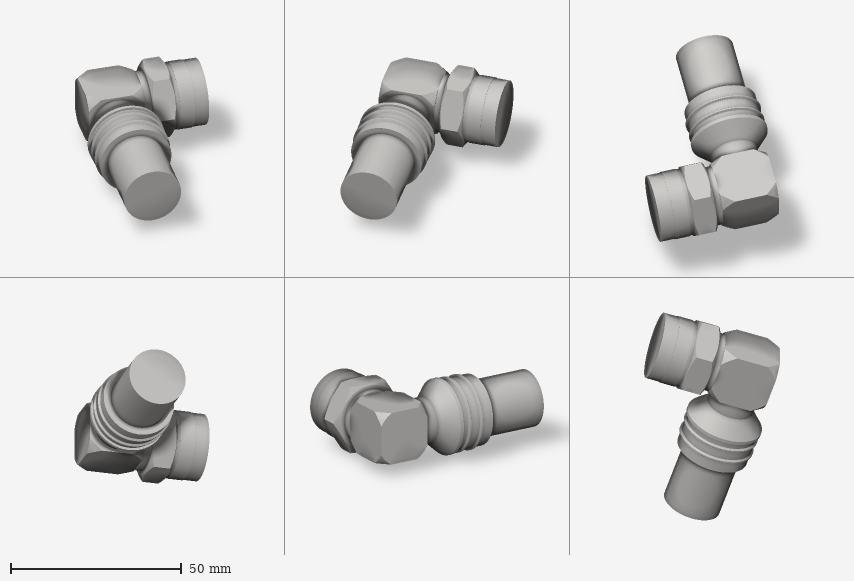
import cadquery as cq
import math


overall_length = 60.25

block_width = 16.0
block_depth = 17.0
block_chamfer_radius = 9.15
block_chamfer_angle = 60.0

collar_radius = 8.75
collar_length = 2.05

hex_corner_diameter = 23.9
hex_length = 7.1
hex_chamfer_radius = 10.0
hex_chamfer_angle = 30.0
relief_radius = 9.95
relief_length = 1.1
shoulder_radius = 10.1
shoulder_length = 4.4
nose_radius = 9.95
nut_end = 27.5

neck_radius = 7.05
neck_end = 12.65
flange_radius = 11.5
flange_start = 17.65
flange_end = 18.75
barrel_radius = 10.8
barrel_end = 29.35
sleeve_radius = 8.6

rib_radius = 11.4
rib_base_width = 1.2
rib_crest_width = 0.4
rib_centers = (21.25, 25.3)

block_face_y = block_depth / 2
nut_start = block_face_y + collar_length
hex_corner_radius = hex_corner_diameter / 2
sleeve_end = overall_length - hex_corner_radius


def disc_along_y(radius, start, end):
    """Cylinder around the nut axis, from start to end along Y."""
    return cq.Workplane("XZ", origin=(0, start, 0)).circle(radius).extrude(start - end)


def chamfer_envelope(face_radius, corner_radius, angle, start, end):
    """Solid of revolution around Y whose two conical ends cut the corners of a prism."""
    rise = (corner_radius - face_radius) * math.tan(math.radians(angle))
    profile = [
        (0, start),
        (face_radius, start),
        (corner_radius, start + rise),
        (corner_radius, end - rise),
        (face_radius, end),
        (0, end),
    ]
    return cq.Workplane("XY").polyline(profile).close().revolve(360, (0, 0, 0), (0, 1, 0))


def make_block():
    """Square block with conical chamfers on the corners of both Y ends."""
    box = cq.Workplane("XY").box(block_width, block_depth, block_width)
    envelope = chamfer_envelope(
        block_chamfer_radius,
        block_width / math.sqrt(2),
        block_chamfer_angle,
        -block_face_y,
        block_face_y,
    )
    return box.intersect(envelope)


def make_cable_entry():
    """Turned neck, cone, flange, barrel and sleeve around the X axis."""
    profile = [
        (0, 0),
        (0, neck_radius),
        (neck_end, neck_radius),
        (flange_start, flange_radius),
        (flange_end, flange_radius),
        (flange_end, barrel_radius),
        (barrel_end, barrel_radius),
        (barrel_end, sleeve_radius),
        (sleeve_end, sleeve_radius),
        (sleeve_end, 0),
    ]
    return cq.Workplane("XY").polyline(profile).close().revolve(360, (0, 0, 0), (1, 0, 0))


def make_rib(center):
    """Ring around the barrel with sloped flanks and a narrow crest, seated on a solid core."""
    base_half = rib_base_width / 2
    crest_half = rib_crest_width / 2
    profile = [
        (center - base_half, 0),
        (center - base_half, barrel_radius),
        (center - crest_half, rib_radius),
        (center + crest_half, rib_radius),
        (center + base_half, barrel_radius),
        (center + base_half, 0),
    ]
    return cq.Workplane("XY").polyline(profile).close().revolve(360, (0, 0, 0), (1, 0, 0))


def make_elbow():
    """Right-angle body: block, collar and ribbed cable entry in one piece."""
    elbow = make_block()
    elbow = elbow.union(disc_along_y(collar_radius, block_face_y, nut_start))
    elbow = elbow.union(make_cable_entry())
    for center in rib_centers:
        elbow = elbow.union(make_rib(center))
    return elbow


def make_nut():
    """Coupling nut: chamfered hexagon followed by the relief, shoulder and nose."""
    hex_end = nut_start + hex_length
    relief_end = hex_end + relief_length
    shoulder_end = relief_end + shoulder_length
    hexagon = cq.Workplane("XZ", origin=(0, nut_start, 0)).polygon(6, hex_corner_diameter).extrude(-hex_length)
    envelope = chamfer_envelope(hex_chamfer_radius, hex_corner_radius, hex_chamfer_angle, nut_start, hex_end)
    nut = hexagon.intersect(envelope)
    nut = nut.union(disc_along_y(relief_radius, hex_end, relief_end))
    nut = nut.union(disc_along_y(shoulder_radius, relief_end, shoulder_end))
    return nut.union(disc_along_y(nose_radius, shoulder_end, nut_end))


elbow = make_elbow()
nut = make_nut()
result = cq.Compound.makeCompound([elbow.val(), nut.val()])